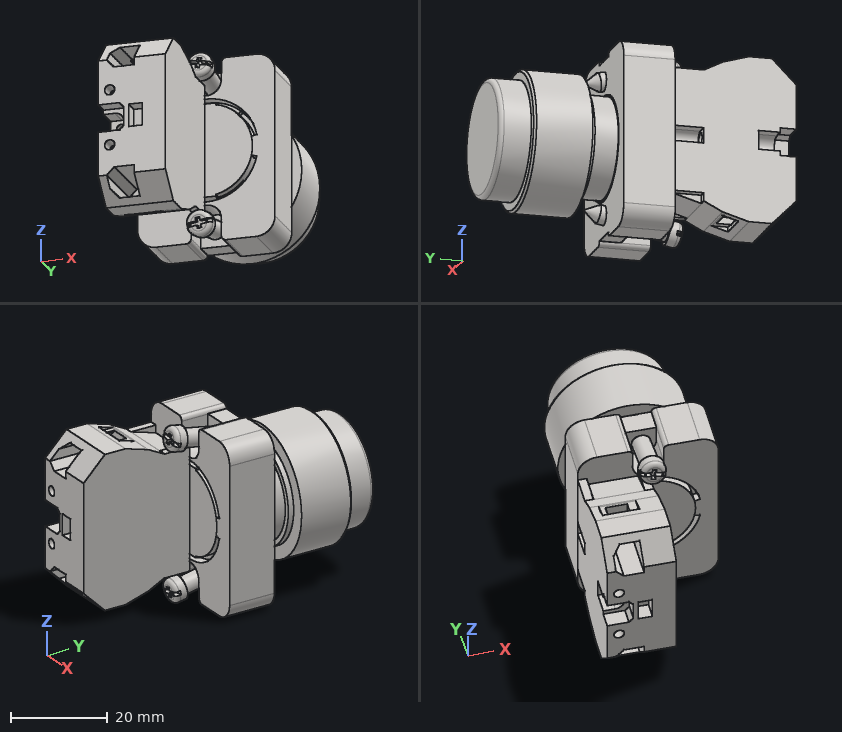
import cadquery as cq
import math


collar_width = 29.95
collar_height = 39.95
collar_depth = 11.1
collar_corner_radius = 4.05
slot_radius = 3.3
slot_center_z = 15.25
slot_depth = 6.45
slot_lip_radius = 1.0
web_top_z = 19.0
bore_radius = 11.25
key_inner_radius = 10.05
key_half_angle = 12
key_root = 0.3

bezel_radius = collar_width / 2
bezel_start = 17.7
bezel_end = 30.3
bezel_chamfer = 0.5
step_radius = 11.95
step_start = 16.4
neck_radius = 10.8
spigot_radius = 11.0
shoulder_depth = 1.9
stop_depth = 1.25
stop_upper_angle = 51
stop_lower_angle = -42
ramp_half_width = 2.1
ramp_low_z = 10.2
ramp_high_z = 10.7

button_radius = 12.7
button_end = 37.2
button_fillet = 1.0

overall_length = 63.3
block_end = button_end - overall_length
block_left = -collar_width / 2
block_width = 14.7
block_right = block_left + block_width
block_foot_z = 14.2
foot_length = 6.15
shoulder_y = -10.1
shoulder_z = 16.2
crest_start_y = -15.75
crest_end_y = -20.8
crest_z = 17.85
block_end_z = 12.6
foot_root_z = 12.4
foot_strip_width = 1.9

center_hole_x = block_left + 2.55
center_hole_radius = 1.2
rear_slot_radius = 1.65
front_slot_radius = 2.0
front_slot_end_y = -17.9
front_pocket_depth = 3.5
front_pocket_length = 5.6
front_pocket_height = 5.95
front_pocket_chamfer = 0.95
test_hole_radius = 1.1
test_hole_offset = 6.0
test_hole_depth = 3.5
window_x = block_left + 6.65
window_width = 3.0
window_height = 4.9
window_depth = 3.5

terminal_x = block_left + 1.9
terminal_width = 5.95
terminal_low_z = 10.95
terminal_high_z = 16.45
terminal_chamfer = 1.65
terminal_end_y = -11.15
access_hole_x = block_left + 3.2
access_hole_end_y = -14.05
recess_width = 7.85
recess_start_y = -10.6
recess_end_y = -14.1

screw_tilt = 10.6
screw_tip_y = 15.5
screw_tip_z = 13.6
screw_length = 18.3
screw_radius = 2.0
screw_point_length = 3.3
screw_head_radius = 2.8
screw_head_rim = 1.85
screw_head_height = 2.85
screw_head_flat_radius = 1.7
screw_dome_bulge = 0.25
drive_width = 0.9
drive_depth = 1.25
drive_cross_length = 2.3
drive_turn = 9


def box(x0, x1, y0, y1, z0, z1):
    """Box between two opposite corners."""
    return cq.Workplane("XY").box(x1 - x0, y1 - y0, z1 - z0, centered=False).translate((x0, y0, z0))


def disc(radius, y0, y1, x=0, z=0):
    """Cylinder along Y between two Y positions."""
    return cq.Workplane("XZ", origin=(x, y0, z)).circle(radius).extrude(y0 - y1)


def prism_along_y(points, y0, y1):
    """Polygon in X and Z, extruded between two Y positions."""
    return cq.Workplane("XZ", origin=(0, y0, 0)).polyline(points).close().extrude(y0 - y1)


def prism_along_x(points, x0, x1):
    """Polygon in Y and Z, extruded between two X positions."""
    return cq.Workplane("YZ", origin=(x0, 0, 0)).polyline(points).close().extrude(x1 - x0)


def mirrored(shape):
    """The same shape on the -Z side."""
    return shape.mirror("XY")


def make_screw():
    """Upper clamping screw, built along Y with its head underside at Y = 0, then tilted into place."""
    cone_start = screw_length - screw_point_length
    rim = -screw_head_rim
    end = -screw_head_height
    dome_mid_radius = (screw_head_radius + screw_head_flat_radius) / 2 + screw_dome_bulge
    dome_mid_y = (rim + end) / 2 - screw_dome_bulge
    body = (
        cq.Workplane("XY")
        .moveTo(0, screw_length)
        .lineTo(screw_radius, cone_start)
        .lineTo(screw_radius, 0)
        .lineTo(screw_head_radius, 0)
        .lineTo(screw_head_radius, rim)
        .threePointArc((dome_mid_radius, dome_mid_y), (screw_head_flat_radius, end))
        .lineTo(0, end)
        .close()
        .revolve(360, (0, 0, 0), (0, 1, 0))
    )
    half = drive_width / 2
    reach = drive_cross_length / 2
    slot_reach = 2 * screw_head_radius
    slot = box(-slot_reach, slot_reach, end, end + drive_depth, -half, half)
    cross_bar = box(-half, half, end, end + drive_depth, -reach, reach)
    drive = slot.union(cross_bar).rotate((0, 0, 0), (0, 1, 0), drive_turn)
    tilt = math.radians(screw_tilt)
    head_y = screw_tip_y - screw_length * math.cos(tilt)
    head_z = screw_tip_z + screw_length * math.sin(tilt)
    return body.cut(drive).rotate((0, 0, 0), (1, 0, 0), -screw_tilt).translate((0, head_y, head_z))


def make_screw_slot():
    """Round-bottomed slot for the upper screw, with rounded lips at the top of the collar."""
    top = collar_height / 2
    lip_x = slot_radius + slot_lip_radius
    lip_z = top - slot_lip_radius
    lip_mid_x = lip_x - slot_lip_radius * math.sqrt(0.5)
    lip_mid_z = lip_z + slot_lip_radius * math.sqrt(0.5)
    return (
        cq.Workplane("XZ")
        .moveTo(-lip_x, top)
        .threePointArc((-lip_mid_x, lip_mid_z), (-slot_radius, lip_z))
        .lineTo(-slot_radius, slot_center_z)
        .threePointArc((0, slot_center_z - slot_radius), (slot_radius, slot_center_z))
        .lineTo(slot_radius, lip_z)
        .threePointArc((lip_mid_x, lip_mid_z), (lip_x, top))
        .close()
        .extrude(-collar_depth)
    )


def make_collar(screws):
    """Mounting collar with a keyed bore and a screw slot at the top and at the bottom."""
    collar = (
        cq.Workplane("XZ")
        .rect(collar_width, collar_height)
        .extrude(-collar_depth)
        .edges("|Y")
        .fillet(collar_corner_radius)
    )
    slot = make_screw_slot()
    web_box = box(-slot_radius, slot_radius, slot_depth, collar_depth, 0, web_top_z)
    web = slot.intersect(web_box)
    for opening in (slot.cut(web), mirrored(slot.cut(web))):
        collar = collar.cut(opening)
    collar = collar.cut(disc(bore_radius, 0, collar_depth))
    for screw in screws:
        collar = collar.cut(screw)
    return collar.union(make_key())


def ring_sector(inner_radius, outer_radius, y0, y1, start_angle, end_angle):
    """Part of a ring around the button axis; angles run from +X towards +Z."""
    reach = 2 * outer_radius
    wedge = [(0, 0)]
    for angle in (start_angle, end_angle):
        turn = math.radians(angle)
        wedge.append((reach * math.cos(turn), reach * math.sin(turn)))
    ring = disc(outer_radius, y0, y1).cut(disc(inner_radius, y0, y1))
    return ring.intersect(prism_along_y(wedge, y0, y1))


def make_key():
    """Key in the bore that locates the button head."""
    root_radius = bore_radius + key_root
    return ring_sector(key_inner_radius, root_radius, 0, shoulder_depth, -key_half_angle, key_half_angle)


def make_stop_recess():
    """Deeper stretch of the spigot's shoulder on both sides of the key."""
    bottom = shoulder_depth + stop_depth
    return ring_sector(
        key_inner_radius, spigot_radius, shoulder_depth, bottom, stop_lower_angle, stop_upper_angle
    )


def make_head():
    """Bezel with its seat step and the neck that passes through the collar."""
    head = disc(bezel_radius, bezel_start, bezel_end).faces(">Y").chamfer(bezel_chamfer)
    head = head.union(disc(step_radius, step_start, bezel_start))
    head = head.union(disc(neck_radius, collar_depth, step_start))
    head = head.union(disc(spigot_radius, shoulder_depth, collar_depth))
    head = head.cut(make_stop_recess())
    head = head.union(disc(key_inner_radius, 0, shoulder_depth + stop_depth))
    ramp = prism_along_x(
        [(0, 0), (0, ramp_low_z), (shoulder_depth, ramp_high_z), (shoulder_depth, 0)],
        -ramp_half_width,
        ramp_half_width,
    )
    return head.union(ramp).union(mirrored(ramp))


def make_button():
    """Push button standing on the bezel."""
    return disc(button_radius, bezel_end, button_end).faces(">Y").edges().fillet(button_fillet)


def make_block_body():
    """Outer shape of the contact block, symmetric about Z = 0."""
    upper = [
        (0, block_foot_z),
        (-foot_length, block_foot_z),
        (shoulder_y, shoulder_z),
        (crest_start_y, crest_z),
        (crest_end_y, crest_z),
        (block_end, block_end_z),
    ]
    lower = [(y, -z) for y, z in reversed(upper)]
    return prism_along_x(upper + lower, block_left, block_right)


def make_foot_relief():
    """Sloped relief on top of the foot, between a flat strip at each side."""
    return prism_along_x(
        [(0, foot_root_z), (0, block_foot_z), (-foot_length, block_foot_z)],
        block_left + foot_strip_width,
        block_right - foot_strip_width,
    )


def make_foot_notch():
    """Notch that replaces the lower left strip of the foot."""
    return box(block_left, block_left + foot_strip_width, -foot_length, 0, -block_foot_z, -foot_root_z)


def make_terminal():
    """Upper terminal: wire pocket from the front, with a recessed access hole from above."""
    right = terminal_x + terminal_width
    pocket = prism_along_y(
        [
            (right, terminal_low_z),
            (terminal_x + terminal_chamfer, terminal_low_z),
            (terminal_x, terminal_low_z + terminal_chamfer),
            (terminal_x, terminal_high_z - terminal_chamfer),
            (terminal_x + terminal_chamfer, terminal_high_z),
            (right, terminal_high_z),
        ],
        block_end,
        terminal_end_y,
    )
    middle_z = (terminal_low_z + terminal_high_z) / 2
    access = box(access_hole_x, right, access_hole_end_y, terminal_end_y, middle_z, crest_z)
    slope = (crest_z - shoulder_z) / (shoulder_y - crest_start_y)
    recess_z = shoulder_z + slope * (shoulder_y - recess_start_y)
    recess = box(terminal_x, terminal_x + recess_width, recess_end_y, recess_start_y, recess_z, crest_z)
    return pocket.union(access).union(recess)


def slot_from_left(radius, y0, y1):
    """Slot with a round end around the centre hole, open on the left side of the block."""
    straight = box(block_left, center_hole_x, y0, y1, -radius, radius)
    return straight.union(disc(radius, y0, y1, center_hole_x))


def make_front_pocket():
    """Pocket at the middle of the block's end face, open on the left side."""
    pocket = box(
        block_left,
        block_left + front_pocket_length,
        block_end,
        block_end + front_pocket_depth,
        -front_pocket_height / 2,
        front_pocket_height / 2,
    )
    return pocket.edges("|Y and >X").chamfer(front_pocket_chamfer)


def make_block():
    """Contact block."""
    block = make_block_body()
    relief = make_foot_relief()
    block = block.cut(relief).cut(mirrored(relief)).cut(make_foot_notch())
    terminal = make_terminal()
    block = block.cut(terminal).cut(mirrored(terminal))
    block = block.cut(slot_from_left(rear_slot_radius, -foot_length, 0))
    block = block.cut(slot_from_left(front_slot_radius, block_end, front_slot_end_y))
    block = block.cut(make_front_pocket())
    block = block.cut(disc(center_hole_radius, front_slot_end_y, -foot_length, center_hole_x))
    for z in (-test_hole_offset, test_hole_offset):
        block = block.cut(disc(test_hole_radius, block_end, block_end + test_hole_depth, center_hole_x, z))
    window = box(
        window_x,
        window_x + window_width,
        block_end,
        block_end + window_depth,
        -window_height / 2,
        window_height / 2,
    )
    return block.cut(window)


upper_screw = make_screw()
screws = [upper_screw, mirrored(upper_screw)]
collar = make_collar(screws)
head = make_head()
button = make_button()
block = make_block()

result = cq.Compound.makeCompound(
    [block.val(), collar.val(), head.val(), button.val(), *[screw.val() for screw in screws]]
)